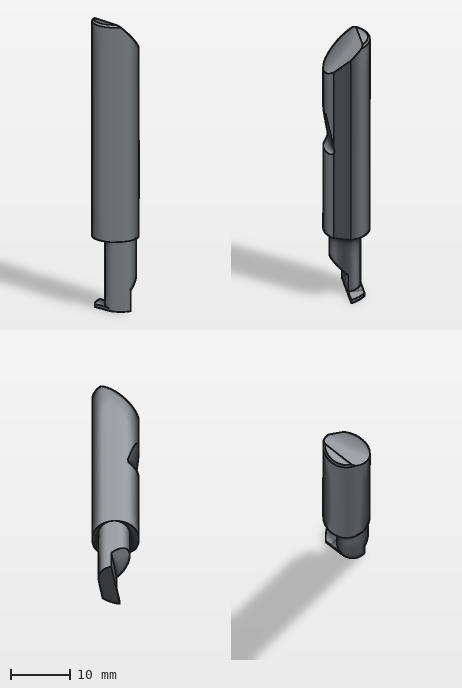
import cadquery as cq
import math

shank_diameter = 7.94
shank_radius = shank_diameter / 2
overall_length = 50.8
neck_length = 12.7
end_chamfer = 0.36
end_slope_start_y = -2.2

flat_depth = 0.28
flat_angle = 22.5

notch_depth = 1.3
notch_radius = 1.0
notch_center_z = 30.1
notch_top_z = 37.4

neck_radius = 2.65
neck_center_x = shank_radius - neck_radius
neck_left_x = neck_center_x - neck_radius
relief_start_z = 4.0

tip_thickness = 0.7
tip_heel_x = -2.33
tip_flank_radius = 6.0
tip_step_height = 0.06
tip_step_run = 0.2
end_dish_angle = 2.0
end_relief_angle = 2.0

cut_span = 2 * shank_diameter


def extrude_across_x(points):
    """Prism with a (Y, Z) outline, centred on X = 0 and wider than the shank."""
    return cq.Workplane("YZ").polyline(points).close().extrude(cut_span / 2, both=True)


def make_shank():
    shank = (
        cq.Workplane("XY")
        .workplane(offset=neck_length)
        .circle(shank_radius)
        .extrude(overall_length - neck_length)
        .faces(">Z")
        .chamfer(end_chamfer)
    )
    return shank.cut(end_slope()).cut(side_flat()).cut(clamping_notch())


def end_slope():
    return extrude_across_x([
        (end_slope_start_y, overall_length),
        (end_slope_start_y + cut_span, overall_length),
        (end_slope_start_y + cut_span, overall_length - cut_span),
    ])


def side_flat():
    flat_distance = shank_radius - flat_depth
    return (
        cq.Workplane("XY")
        .box(cut_span, cut_span, overall_length, centered=(False, True, False))
        .translate((flat_distance, 0, 0))
        .rotate((0, 0, 0), (0, 0, 1), 180 - flat_angle)
    )


def clamping_notch():
    """Round-ended notch whose ramp runs tangentially from the arc out to the shank surface."""
    center_y = shank_radius - notch_depth + notch_radius
    ramp_dy = shank_radius - center_y
    ramp_dz = notch_top_z - notch_center_z
    tangent_angle = math.atan2(ramp_dz, ramp_dy) + math.acos(notch_radius / math.hypot(ramp_dy, ramp_dz))
    tangent_point = (
        center_y + notch_radius * math.cos(tangent_angle),
        notch_center_z + notch_radius * math.sin(tangent_angle),
    )
    mouth_z = notch_center_z - math.sqrt(notch_radius**2 - ramp_dy**2)
    outline = (
        cq.Workplane("YZ")
        .moveTo(shank_radius, notch_top_z)
        .lineTo(*tangent_point)
        .threePointArc((center_y, notch_center_z - notch_radius), (shank_radius, mouth_z))
        .close()
    )
    return outline.extrude(cut_span / 2, both=True)


def make_neck():
    neck = cq.Workplane("XY").center(neck_center_x, 0).circle(neck_radius).extrude(neck_length)
    ramp_relief = extrude_across_x([
        (0, 0),
        (0, relief_start_z),
        (cut_span, relief_start_z + cut_span),
        (cut_span, 0),
    ])
    return neck.cut(ramp_relief)


def make_tip():
    chord = math.hypot(tip_heel_x + shank_radius, neck_radius)
    flank_bulge = tip_flank_radius - math.sqrt(tip_flank_radius**2 - (chord / 2) ** 2)
    outline = (
        cq.Workplane("XY")
        .moveTo(-shank_radius, 0)
        .sagittaArc((tip_heel_x, -neck_radius), -flank_bulge)
        .lineTo(neck_center_x, -neck_radius)
        .lineTo(neck_center_x, 0)
        .close()
        .extrude(tip_thickness + tip_step_height)
    )
    return outline.cut(material_above_thin_tip())


def material_above_thin_tip():
    """Clearance above the thin part of the tip, ending in a short ramp next to the neck."""
    top_z = tip_thickness + tip_step_height
    return (
        cq.Workplane("XZ")
        .moveTo(-cut_span, tip_thickness)
        .lineTo(neck_left_x, tip_thickness)
        .lineTo(neck_left_x + tip_step_run, top_z)
        .lineTo(-cut_span, top_z)
        .close()
        .extrude(cut_span)
    )


def end_relief():
    """Block below the bottom face, which is lowest at the cutting point."""
    cutting_point = (-shank_radius, 0, 0)
    return (
        cq.Workplane("XY")
        .box(2 * cut_span, 2 * cut_span, cut_span, centered=(True, True, False))
        .translate((-shank_radius, 0, -cut_span))
        .rotate(cutting_point, (0, 0, 0), -end_relief_angle)
        .rotate(cutting_point, (-shank_radius, 1, 0), -end_dish_angle)
    )


result = make_shank().union(make_neck()).union(make_tip()).cut(end_relief())